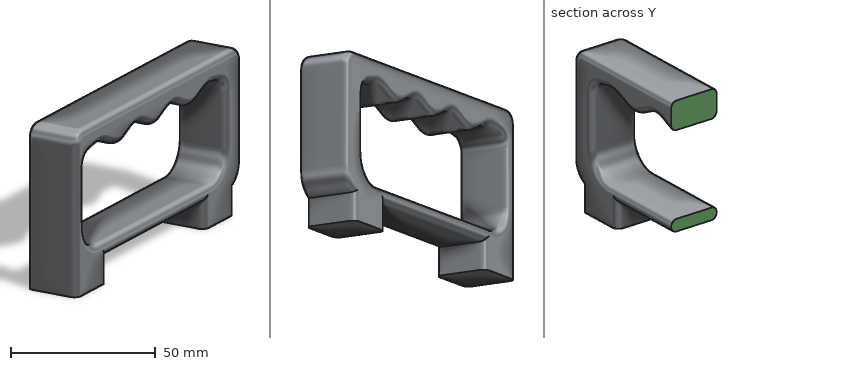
import cadquery as cq
import math

width = 20.0
length = 111.25
height = 60.0
edge_radius = 2.5

top_corner_radius = 5.0
foot_height = 10.0
foot_length = 20.0
foot_setback = 5.0
heel_radius = 10.0

back_wall = 10.25
front_wall = 5.0
lower_bar = 5.0
lower_corner_radius = 10.0
upper_corner_radius = 5.0
upper_corner_center_z = 46.25
upper_corner_sweep = 80.0

finger_pitch = 24.0
end_crest_offset = 37.5
end_crest_z = 52.1
crest_z = 51.9
trough_z = 48.0

block_margin = 10.0

front_y = -length / 2
back_y = length / 2
opening_front_y = front_y + front_wall
opening_back_y = back_y - back_wall
opening_floor_z = foot_height + lower_bar
opening_center_y = (opening_front_y + opening_back_y) / 2


def outer_outline():
    """Side outline of the handle in the YZ plane, without the opening."""
    front_foot_y = front_y + foot_length
    back_foot_y = back_y - foot_setback
    heel_center_y = back_y - heel_radius
    heel_angle = math.acos((back_foot_y - heel_center_y) / heel_radius)
    heel_center_z = foot_height + heel_radius * math.sin(heel_angle)
    heel_middle = (
        heel_center_y + heel_radius * math.cos(heel_angle / 2),
        heel_center_z - heel_radius * math.sin(heel_angle / 2),
    )
    return (
        cq.Workplane("YZ")
        .moveTo(front_y, 0)
        .lineTo(front_foot_y, 0)
        .lineTo(front_foot_y, foot_height)
        .lineTo(back_foot_y - foot_length, foot_height)
        .lineTo(back_foot_y - foot_length, 0)
        .lineTo(back_foot_y, 0)
        .lineTo(back_foot_y, foot_height)
        .threePointArc(heel_middle, (back_y, heel_center_z))
        .lineTo(back_y, height - top_corner_radius)
        .radiusArc((back_y - top_corner_radius, height), -top_corner_radius)
        .lineTo(front_y + top_corner_radius, height)
        .radiusArc((front_y, height - top_corner_radius), -top_corner_radius)
        .close()
    )


def grip_points():
    """Crests and troughs of the finger wave, from back to front."""
    inner_wave = []
    for step in (1, 0, -1):
        trough_y = opening_center_y + step * finger_pitch
        inner_wave.append((trough_y, trough_z))
        inner_wave.append((trough_y - finger_pitch / 2, crest_z))
    inner_wave.pop()
    back_crest = (opening_center_y + end_crest_offset, end_crest_z)
    front_crest = (opening_center_y - end_crest_offset, end_crest_z)
    return [back_crest] + inner_wave + [front_crest]


def opening_outline():
    """Outline of the hand opening in the YZ plane."""
    sweep = math.radians(upper_corner_sweep)
    rise = upper_corner_radius * math.sin(sweep)
    inset = upper_corner_radius * (1 - math.cos(sweep))
    back_grip_end = (opening_back_y - inset, upper_corner_center_z + rise)
    front_grip_end = (opening_front_y + inset, upper_corner_center_z + rise)
    lower_corner_z = opening_floor_z + lower_corner_radius

    wave = grip_points()
    level = (-1, 0)
    tangents = [(-math.sin(sweep), math.cos(sweep))]
    tangents += [level] * len(wave)
    tangents += [(-math.sin(sweep), -math.cos(sweep))]
    return (
        cq.Workplane("YZ")
        .moveTo(opening_front_y + lower_corner_radius, opening_floor_z)
        .lineTo(opening_back_y - lower_corner_radius, opening_floor_z)
        .radiusArc((opening_back_y, lower_corner_z), -lower_corner_radius)
        .lineTo(opening_back_y, upper_corner_center_z)
        .radiusArc(back_grip_end, -upper_corner_radius)
        .spline(wave + [front_grip_end], tangents=tangents, includeCurrent=True)
        .radiusArc((opening_front_y, upper_corner_center_z), -upper_corner_radius)
        .lineTo(opening_front_y, lower_corner_z)
        .radiusArc((opening_front_y + lower_corner_radius, opening_floor_z), -lower_corner_radius)
        .close()
    )


def rounded_blank():
    """Solid handle with its side edges rounded; the edges of the foot soles stay sharp."""
    blank = outer_outline().extrude(width / 2, both=True)
    return blank.faces("<X or >X").edges("not <Z").fillet(edge_radius)


def pierced_block():
    """Oversize block pierced by the hand opening, with both rims of the opening rounded."""
    block = (
        cq.Workplane("XY")
        .box(width, length + 2 * block_margin, height + 2 * block_margin)
        .translate((0, 0, height / 2))
    )
    pierced = block.cut(opening_outline().extrude(width / 2, both=True))
    rims = [rim for side in pierced.faces("<X or >X").vals() for rim in side.innerWires()]
    return pierced.newObject(rims).edges().fillet(edge_radius)


result = rounded_blank().intersect(pierced_block())